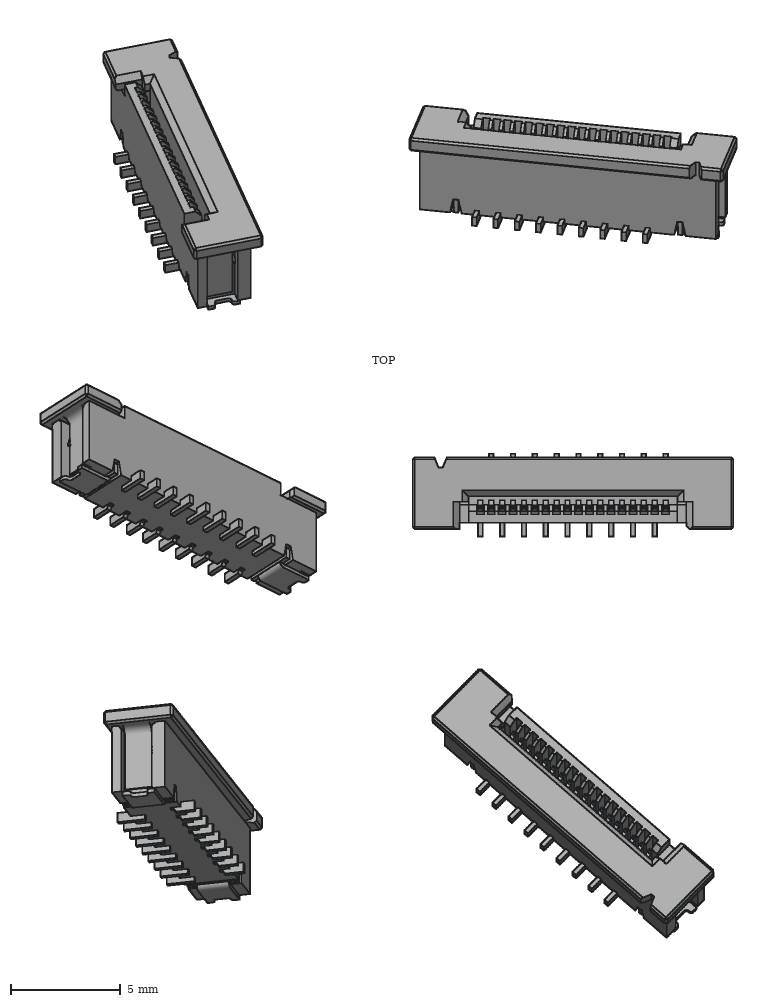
import cadquery as cq

TOTAL_HEIGHT = 4.15
PIN_SPAN = 3.8

BODY_LENGTH = 13.88
BODY_DEPTH = 2.55
BODY_BOTTOM = 0.22

PLATE_LENGTH = 14.7
PLATE_THICKNESS = 0.68
PLATE_REAR = 1.75
PLATE_FRONT = -1.56
PLATE_CHAMFER = 0.1
WING_GAP_LENGTH = 10.41
WING_GAP_REAR = -0.3
WING_CHAMFER = 0.15
LEAD_IN = 0.28
OPENING_LENGTH = 9.61
NOTCH_X = -6.07
NOTCH_MOUTH = 0.59
NOTCH_ROOT = 0.18

SLOT_LENGTH = 9.54
SLOT_REAR = -0.05
SLOT_FRONT = -0.44
SLOT_FLOOR = 1.47
WALL_BEVEL = 0.3
WALL_BEVEL_DROP = 0.32
POCKET_DROP = 0.18

CONTACT_COUNT = 18
PITCH = 0.5
CONTACT_WIDTH = 0.22
PIN_HEIGHT = 0.45
FRONT_PIN_INNER = -0.59
REAR_PIN_INNER = 0.76
REAR_PIN_HEEL = 1.0
PIN_RELIEF = 0.18
GROOVE_WIDTH = 0.34
GROOVE_FRONT = -0.88
GROOVE_FLOOR = 2.06
NOSE_HEIGHT = 2.94
NOSE_REACH = -0.24
NOSE_SHOULDER = -0.45
NOSE_CREST = -0.56
NOSE_CREST_WIDTH = 0.06
NOSE_BACK = -0.76
NOSE_SHOULDER_RISE = 0.06
NOSE_CREST_RISE = 0.15

RECESS_DEPTH = 0.5
RECESS_REAR = 0.65
RECESS_FRONT = -0.82
RECESS_FLARE = 0.13
LEG_REAR = 0.51
LEG_FRONT = -0.76
LEG_BOTTOM = 0.45
LEG_INSET = 0.4
GAP_HEIGHT = 0.07
BUMP_HEIGHT = 0.1
BUMP_TOP = 2.55
BUMP_CREST_TOP = 2.23
BUMP_BOTTOM = 2.13

TAB_THICKNESS = 0.2
TAB_INNER_X = 5.15
TAB_REAR = 0.76
TAB_FRONT = -0.76
FOOT_THICKNESS = 0.19
FOOT_NOTCH_WIDTH = 0.8
FOOT_NOTCH_DEPTH = 0.31
FOOT_NOTCH_RADIUS = 0.15
TAB_SLOT_MOUTH = 0.55
TAB_SLOT_TOP_WIDTH = 0.26
TAB_SLOT_TOP = 0.91
TAB_BEVEL = 0.15
TAB_BEND = 0.28
UPRIGHT_DEPTH = 2.44

BODY_HALF = BODY_LENGTH / 2
BODY_REAR = BODY_DEPTH / 2
BODY_FRONT = -BODY_REAR
PLATE_BOTTOM = TOTAL_HEIGHT - PLATE_THICKNESS
PIN_REACH = PIN_SPAN / 2
SLOT_HALF = SLOT_LENGTH / 2
WING_GAP_HALF = WING_GAP_LENGTH / 2
WALL_EDGE = SLOT_FRONT - WALL_BEVEL
LEG_FACE = BODY_HALF - LEG_INSET
GAP_REAR = RECESS_REAR + RECESS_FLARE
RECESS_FACE = BODY_HALF - RECESS_DEPTH
TAB_SLOT_X = TAB_INNER_X + TAB_THICKNESS / 2


def block(x0, x1, y0, y1, z0, z1):
    """Box between two opposite corners."""
    return cq.Workplane("XY").box(x1 - x0, y1 - y0, z1 - z0, centered=False).translate((x0, y0, z0))


def along_x(points, x0, x1):
    """Prism along X from a (Y, Z) outline."""
    return cq.Workplane("YZ").polyline(points).close().extrude(x1 - x0).translate((x0, 0, 0))


def along_y(points, y0, y1):
    """Prism along Y from an (X, Z) outline."""
    return cq.Workplane("XZ").polyline(points).close().extrude(y0 - y1).translate((0, y0, 0))


def both_ends(solid):
    """The solid together with its mirror image at the other end."""
    return solid.union(solid.mirror("YZ"))


def make_plate():
    """Chamfered plate with its polarity notch, wing gap and flared cable opening."""
    half = PLATE_LENGTH / 2
    plate = block(-half, half, PLATE_FRONT, PLATE_REAR, PLATE_BOTTOM, TOTAL_HEIGHT)
    plate = plate.edges().chamfer(PLATE_CHAMFER)

    notch = [
        (NOTCH_X - NOTCH_MOUTH / 2, PLATE_REAR),
        (NOTCH_X - NOTCH_ROOT / 2, BODY_REAR),
        (NOTCH_X + NOTCH_ROOT / 2, BODY_REAR),
        (NOTCH_X + NOTCH_MOUTH / 2, PLATE_REAR),
    ]
    plate = plate.cut(cq.Workplane("XY").polyline(notch).close().extrude(TOTAL_HEIGHT))

    bevel_z = TOTAL_HEIGHT - LEAD_IN
    gap = [
        (-WING_GAP_HALF, WING_GAP_REAR),
        (WING_GAP_HALF, WING_GAP_REAR),
        (WING_GAP_HALF, PLATE_FRONT + WING_CHAMFER),
        (WING_GAP_HALF + WING_CHAMFER, PLATE_FRONT),
        (-WING_GAP_HALF, PLATE_FRONT),
    ]
    plate = plate.cut(cq.Workplane("XY").polyline(gap).close().extrude(TOTAL_HEIGHT))
    wing_bevel = [
        (WING_GAP_HALF, bevel_z),
        (WING_GAP_HALF + LEAD_IN, TOTAL_HEIGHT),
        (WING_GAP_HALF, TOTAL_HEIGHT),
    ]
    plate = plate.cut(both_ends(along_y(wing_bevel, WING_GAP_REAR, PLATE_FRONT)))
    plate = plate.cut(block(
        -OPENING_LENGTH / 2, OPENING_LENGTH / 2, WING_GAP_REAR, SLOT_REAR, PLATE_BOTTOM, TOTAL_HEIGHT))
    flare_depth = SLOT_REAR - PLATE_FRONT
    flare_y = (SLOT_REAR + PLATE_FRONT) / 2
    flare = (
        cq.Workplane("XY", origin=(0, flare_y, bevel_z))
        .rect(OPENING_LENGTH, flare_depth)
        .workplane(offset=LEAD_IN)
        .rect(OPENING_LENGTH + 2 * LEAD_IN, flare_depth + 2 * LEAD_IN)
        .loft(ruled=True)
    )
    keep = block(-half, half, WING_GAP_REAR, PLATE_REAR, PLATE_BOTTOM, TOTAL_HEIGHT)
    return plate.cut(flare.intersect(keep))


def make_housing():
    """Main block with the front wall rising through the wing gap."""
    housing = block(-BODY_HALF, BODY_HALF, BODY_FRONT, BODY_REAR, BODY_BOTTOM, PLATE_BOTTOM)
    front_wall = block(-SLOT_HALF, SLOT_HALF, BODY_FRONT, SLOT_FRONT, PLATE_BOTTOM, TOTAL_HEIGHT)
    return housing.union(front_wall)


def cable_slot():
    """Slot behind the front wall, with a bevelled pocket at each end."""
    slot = along_x(
        [
            (SLOT_REAR, SLOT_FLOOR),
            (SLOT_FRONT, SLOT_FLOOR),
            (SLOT_FRONT, TOTAL_HEIGHT - WALL_BEVEL_DROP),
            (WALL_EDGE, TOTAL_HEIGHT),
            (SLOT_REAR, TOTAL_HEIGHT),
        ],
        -SLOT_HALF, SLOT_HALF)
    pocket = along_x(
        [
            (SLOT_FRONT, PLATE_BOTTOM),
            (WING_GAP_REAR, PLATE_BOTTOM),
            (WING_GAP_REAR, PLATE_BOTTOM - POCKET_DROP),
        ],
        SLOT_HALF, WING_GAP_HALF)
    return slot.union(both_ends(pocket))


def end_recess():
    """Recess in the +X end, flared where it meets the plate."""
    flare_bottom = PLATE_BOTTOM - RECESS_FLARE
    return along_x(
        [
            (RECESS_FRONT, BODY_BOTTOM),
            (RECESS_FRONT, flare_bottom),
            (RECESS_FRONT - RECESS_FLARE, PLATE_BOTTOM),
            (GAP_REAR, PLATE_BOTTOM),
            (RECESS_REAR, flare_bottom),
            (RECESS_REAR, BODY_BOTTOM),
        ],
        RECESS_FACE, BODY_HALF)


def end_leg():
    """Actuator leg in the +X recess, curving out into the plate, with a latch bump beside it."""
    leg = (
        cq.Workplane("XZ", origin=(0, LEG_REAR, 0))
        .moveTo(RECESS_FACE, LEG_BOTTOM)
        .lineTo(LEG_FACE, LEG_BOTTOM)
        .lineTo(LEG_FACE, PLATE_BOTTOM - LEG_INSET)
        .radiusArc((BODY_HALF, PLATE_BOTTOM), LEG_INSET)
        .lineTo(RECESS_FACE, PLATE_BOTTOM)
        .close()
        .extrude(LEG_REAR - LEG_FRONT)
    )
    crest = RECESS_FACE + BUMP_HEIGHT
    bump = along_y(
        [
            (RECESS_FACE, BUMP_TOP),
            (crest, BUMP_CREST_TOP),
            (crest, BUMP_BOTTOM),
            (RECESS_FACE, BUMP_BOTTOM),
        ],
        RECESS_REAR, LEG_REAR)
    return leg.union(bump)


def tab_slot():
    """Tapered slot through the housing for the +X solder tab."""
    half_mouth = TAB_SLOT_MOUTH / 2
    half_top = TAB_SLOT_TOP_WIDTH / 2
    return along_y(
        [
            (TAB_SLOT_X - half_mouth, BODY_BOTTOM),
            (TAB_SLOT_X + half_mouth, BODY_BOTTOM),
            (TAB_SLOT_X + half_top, TAB_SLOT_TOP),
            (TAB_SLOT_X - half_top, TAB_SLOT_TOP),
        ],
        BODY_REAR, BODY_FRONT)


def solder_tab():
    """L-shaped +X tab: a notched foot and an upright held in the slot."""
    width = TAB_REAR - TAB_FRONT
    inner_bend = TAB_BEND - FOOT_THICKNESS
    outer_x = TAB_INNER_X + TAB_THICKNESS
    foot = (
        cq.Workplane("XZ", origin=(0, TAB_REAR, 0))
        .moveTo(BODY_HALF, 0)
        .lineTo(TAB_INNER_X + TAB_BEND, 0)
        .radiusArc((TAB_INNER_X, TAB_BEND), TAB_BEND)
        .lineTo(outer_x, TAB_BEND)
        .radiusArc((outer_x + inner_bend, FOOT_THICKNESS), -inner_bend)
        .lineTo(BODY_HALF, FOOT_THICKNESS)
        .close()
        .extrude(width)
    )
    notch_y = (TAB_REAR + TAB_FRONT) / 2
    notch = block(
        BODY_HALF - FOOT_NOTCH_DEPTH, BODY_HALF,
        notch_y - FOOT_NOTCH_WIDTH / 2, notch_y + FOOT_NOTCH_WIDTH / 2,
        0, FOOT_THICKNESS)
    foot = foot.cut(notch.edges("|Z and <X").fillet(FOOT_NOTCH_RADIUS))
    for side in (1, -1):
        tip = (BODY_HALF, notch_y + side * FOOT_NOTCH_WIDTH / 2, FOOT_THICKNESS / 2)
        foot = foot.edges(cq.selectors.NearestToPointSelector(tip)).fillet(FOOT_NOTCH_RADIUS)
    upright = block(
        TAB_INNER_X, outer_x, -UPRIGHT_DEPTH / 2, UPRIGHT_DEPTH / 2,
        BODY_BOTTOM, TAB_SLOT_TOP)
    upright = upright.edges("<Y and >Z").chamfer(TAB_BEVEL)
    return foot.union(upright)


def contact_nose(x):
    """Spring contact standing in its groove in the front wall."""
    crest_z = NOSE_HEIGHT + NOSE_CREST_RISE
    points = [
        (NOSE_REACH, SLOT_FLOOR),
        (NOSE_REACH, NOSE_HEIGHT),
        (NOSE_SHOULDER, NOSE_HEIGHT + NOSE_SHOULDER_RISE),
        (NOSE_CREST + NOSE_CREST_WIDTH / 2, crest_z),
        (NOSE_CREST - NOSE_CREST_WIDTH / 2, crest_z),
        (NOSE_BACK, GROOVE_FLOOR),
        (NOSE_BACK, SLOT_FLOOR),
    ]
    return along_x(points, x - CONTACT_WIDTH / 2, x + CONTACT_WIDTH / 2)


def contact_groove(x):
    """Clearance for one contact in the inner face of the front wall."""
    return block(
        x - GROOVE_WIDTH / 2, x + GROOVE_WIDTH / 2,
        GROOVE_FRONT, SLOT_FRONT, GROOVE_FLOOR, TOTAL_HEIGHT)


def front_pin(x):
    """Straight pin reaching forward from under the housing."""
    return block(
        x - CONTACT_WIDTH / 2, x + CONTACT_WIDTH / 2,
        -PIN_REACH, FRONT_PIN_INNER, 0, PIN_HEIGHT)


def rear_pin(x):
    """Rear pin, relieved underneath beyond its heel."""
    points = [
        (PIN_REACH, 0),
        (REAR_PIN_HEEL, 0),
        (REAR_PIN_HEEL - PIN_RELIEF / 2, PIN_RELIEF),
        (REAR_PIN_INNER, PIN_RELIEF),
        (REAR_PIN_INNER, PIN_HEIGHT),
        (PIN_REACH, PIN_HEIGHT),
    ]
    return along_x(points, x - CONTACT_WIDTH / 2, x + CONTACT_WIDTH / 2)


result = make_housing().union(make_plate())
result = result.cut(cable_slot())
result = result.cut(both_ends(end_recess())).union(both_ends(end_leg()))
result = result.cut(block(
    -BODY_HALF, BODY_HALF, LEG_REAR, GAP_REAR, PLATE_BOTTOM - GAP_HEIGHT, PLATE_BOTTOM))
result = result.cut(both_ends(tab_slot())).union(both_ends(solder_tab()))

for index in range(CONTACT_COUNT):
    contact_x = (index - (CONTACT_COUNT - 1) / 2) * PITCH
    pin = front_pin(contact_x) if index % 2 == 0 else rear_pin(contact_x)
    result = result.cut(contact_groove(contact_x))
    result = result.union(contact_nose(contact_x)).union(pin)